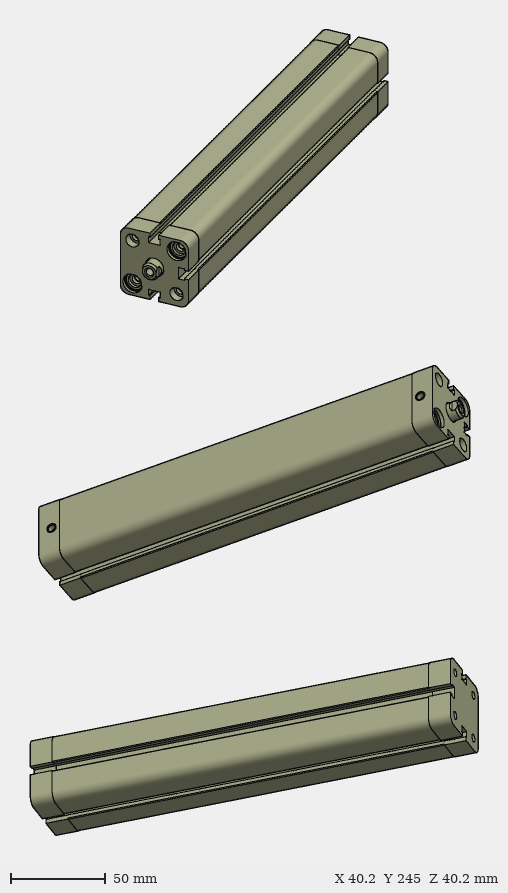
import cadquery as cq

TOTAL_LENGTH = 245.0
ROD_LENGTH = 6.1
CAP_SIDE = 40.2
CAP_LENGTH = 12.5
TUBE_SIDE = 40.0
CORNER_RADIUS = 5.0

ROD_TIP_Y = -TOTAL_LENGTH / 2
FRONT_Y = ROD_TIP_Y + ROD_LENGTH
REAR_Y = TOTAL_LENGTH / 2
TUBE_FRONT_Y = FRONT_Y + CAP_LENGTH
TUBE_REAR_Y = REAR_Y - CAP_LENGTH

SLOT_OPENING = 5.1
SLOT_WIDTH = 6.9
SLOT_DEPTH = 6.0
SLOT_LIP = 2.5
TUBE_LIP_CHAMFER = 0.5
SLOT_ANGLES = (0, 90, 180)

HOLE_OFFSET = 13.0
THROUGH_HOLE = (4.2, TOTAL_LENGTH)
THREAD_RELIEF = (5.0, 7.4)
COUNTERBORE = (7.5, 5.0)
SCREW_RECESS = (10.0, 3.0)
WIDE_COUNTERBORE = (11.0, 2.0)

ROD_DIAMETER = 10.0
ROD_TIP_DIAMETER = 8.0
ROD_TAPER_LENGTH = 1.2
FLAT_WIDTH = 8.0
FLAT_LENGTH = 3.5
ROD_BORE_DIAMETER = 4.2
ROD_BORE_DEPTH = 12.2
BORE_MOUTH_DIAMETER = 5.5
ROD_CLEARANCE_DIAMETER = 11.0
ROD_CLEARANCE_DEPTH = 2.5

PORT_INSET = 7.5
PORT_STEPS = ((5.5, 0.5), (4.2, 4.0), (2.0, 7.4))


def box_along_y(width, height, start_y, end_y, center_z=0):
    """Box centred on X, reaching from start_y to end_y."""
    box = cq.Workplane("XY").box(width, end_y - start_y, height)
    return box.translate((0, (start_y + end_y) / 2, center_z))


def round_along_y(diameter, start_y, length, x=0, z=0):
    """Round bar that starts at start_y and runs toward +Y."""
    start = cq.Vector(x, start_y, z)
    return cq.Workplane(cq.Solid.makeCylinder(diameter / 2, length, start, cq.Vector(0, 1, 0)))


def cone_along_y(start_diameter, end_diameter, start_y, length):
    """Cone frustum on the Y axis that starts at start_y and runs toward +Y."""
    start = cq.Vector(0, start_y, 0)
    return cq.Workplane(
        cq.Solid.makeCone(start_diameter / 2, end_diameter / 2, length, start, cq.Vector(0, 1, 0))
    )


def slot_cutter(side, start_y, end_y, lip_chamfer=0):
    """T-slot cutter for the top face of a bar of the given side, with optional chamfered lips."""
    top = side / 2
    floor = top - SLOT_DEPTH
    pocket_height = SLOT_DEPTH - SLOT_LIP
    neck = box_along_y(SLOT_OPENING, SLOT_DEPTH, start_y, end_y, floor + SLOT_DEPTH / 2)
    if lip_chamfer:
        half_opening = SLOT_OPENING / 2
        mouth = (
            cq.Workplane("XZ", origin=(0, end_y, 0))
            .moveTo(-half_opening, top - lip_chamfer)
            .lineTo(half_opening, top - lip_chamfer)
            .lineTo(half_opening + lip_chamfer, top)
            .lineTo(-half_opening - lip_chamfer, top)
            .close()
            .extrude(end_y - start_y)
        )
        neck = neck.union(mouth)
    pocket = box_along_y(SLOT_WIDTH, pocket_height, start_y, end_y, floor + pocket_height / 2)
    return neck.union(pocket)


def slotted_bar(side, start_y, end_y, lip_chamfer=0):
    """Square bar with rounded long edges and a T-slot in each slotted face."""
    bar = box_along_y(side, side, start_y, end_y).edges("|Y").fillet(CORNER_RADIUS)
    cutter = slot_cutter(side, start_y, end_y, lip_chamfer)
    for angle in SLOT_ANGLES:
        bar = bar.cut(cutter.rotate((0, 0, 0), (0, 1, 0), angle))
    return bar


def make_body():
    """Tube between two slightly larger end caps."""
    front_cap = slotted_bar(CAP_SIDE, FRONT_Y, TUBE_FRONT_Y)
    tube = slotted_bar(TUBE_SIDE, TUBE_FRONT_Y, TUBE_REAR_Y, TUBE_LIP_CHAMFER)
    rear_cap = slotted_bar(CAP_SIDE, TUBE_REAR_Y, REAR_Y)
    return front_cap.union(tube).union(rear_cap)


def cut_corner_holes(body):
    """Stepped through holes; one diagonal pair has an extra wide counterbore."""
    for x_side in (-1, 1):
        for z_side in (-1, 1):
            steps = [THROUGH_HOLE, THREAD_RELIEF, COUNTERBORE]
            if x_side == z_side:
                steps += [SCREW_RECESS, WIDE_COUNTERBORE]
            for diameter, depth in steps:
                body = body.cut(
                    round_along_y(diameter, FRONT_Y, depth, x_side * HOLE_OFFSET, z_side * HOLE_OFFSET)
                )
    return body


def make_rod():
    """Tapered rod end with two wrench flats on +X and -X that run out at 45 degrees."""
    straight_length = ROD_LENGTH + ROD_CLEARANCE_DEPTH - ROD_TAPER_LENGTH
    rod = round_along_y(ROD_DIAMETER, ROD_TIP_Y + ROD_TAPER_LENGTH, straight_length)
    rod = rod.union(cone_along_y(ROD_TIP_DIAMETER, ROD_DIAMETER, ROD_TIP_Y, ROD_TAPER_LENGTH))
    flat_x = FLAT_WIDTH / 2
    runout = ROD_DIAMETER / 2 - flat_x
    flat_cutter = (
        cq.Workplane("XY")
        .moveTo(flat_x, ROD_TIP_Y)
        .lineTo(flat_x, ROD_TIP_Y + FLAT_LENGTH)
        .lineTo(flat_x + runout, ROD_TIP_Y + FLAT_LENGTH + runout)
        .lineTo(flat_x + runout, ROD_TIP_Y)
        .close()
        .extrude(ROD_DIAMETER, both=True)
    )
    return rod.cut(flat_cutter).cut(flat_cutter.mirror("YZ"))


def make_rod_bore():
    """Blind bore in the rod tip with a 45 degree countersunk mouth."""
    mouth_depth = (BORE_MOUTH_DIAMETER - ROD_BORE_DIAMETER) / 2
    mouth = cone_along_y(BORE_MOUTH_DIAMETER, ROD_BORE_DIAMETER, ROD_TIP_Y, mouth_depth)
    return round_along_y(ROD_BORE_DIAMETER, ROD_TIP_Y, ROD_BORE_DEPTH).union(mouth)


def cut_ports(body):
    """Stepped blind ports drilled from the -X face."""
    for y in (FRONT_Y + PORT_INSET, REAR_Y - PORT_INSET):
        start = cq.Vector(-CAP_SIDE / 2, y, 0)
        for diameter, depth in PORT_STEPS:
            port = cq.Solid.makeCylinder(diameter / 2, depth, start, cq.Vector(1, 0, 0))
            body = body.cut(cq.Workplane(port))
    return body


result = cut_ports(cut_corner_holes(make_body()))
result = result.cut(round_along_y(ROD_CLEARANCE_DIAMETER, FRONT_Y, ROD_CLEARANCE_DEPTH))
result = result.union(make_rod()).cut(make_rod_bore())